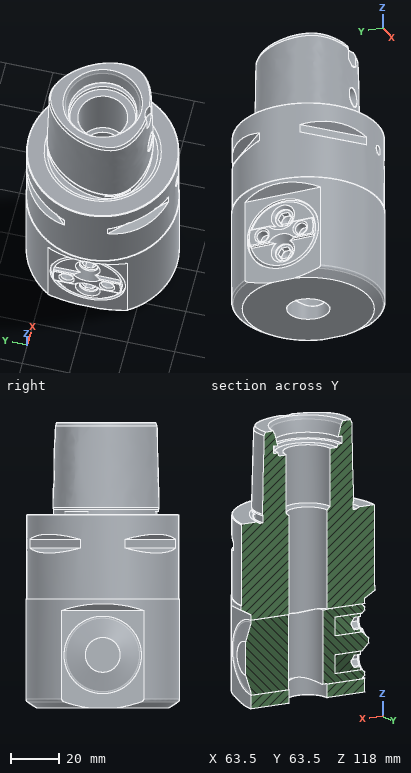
import cadquery as cq
import math


shank_length = 38.0
shank_mean_radius = 22.0
shank_lobe_height = 1.35
shank_taper_rate = 1 / 40
neck_inset = 0.25
neck_top = 2.15
taper_start = 2.9
tip_chamfer_width = 0.65
tip_chamfer_height = 1.5
profile_points = 48

lobe_relief_radius = 22.5
lobe_relief_top = 1.2

tip_notch_radius = 5.3
tip_notch_reach = 18.1
tip_notch_bottom = shank_length - 6.4

side_hole_radius = 4.0
side_hole_mouth_radius = 4.5
side_hole_height = 15.3
side_hole_depth = 4.0
side_hole_start = 20.6

flange_radius = 31.5
flange_length = 35.0
flange_edge_chamfer = 0.3
head_radius = 31.75
clear_radius = 35.0
head_length = 45.0
head_bottom = -flange_length - head_length
head_chamfer_width = 4.45
head_chamfer_height = 2.9
head_chamfer_rounding = 1.5

face_groove_outer_radius = 24.2
face_groove_inner_radius = 22.8
face_groove_depth = 0.8

gripper_groove_distance = 27.8
gripper_groove_floor_width = 3.5
gripper_groove_flank_angle = 30.0
gripper_groove_height = -12.05

index_hole_radius = 2.0
index_hole_depth = 1.5

flat_distance = 26.85
flat_top = -39.7
flat_run_out_angle = 30.0

bore_mouth_radius = 16.4
bore_radius = 15.5
bore_lip_radius = 14.1
bore_mouth_depth = 1.55
clamp_groove_radius = 16.0
clamp_groove_top = 31.2
seat_radius = 13.6
seat_height = 26.9
seat_cone_top = 28.3
drawbar_radius = 10.3
drawbar_step = 2.0
drawbar_cone_end = 0.6
through_radius = 8.9

slider_radius = 16.0
slider_height = -58.0
slider_edge_chamfer = 1.35
slider_cone_base_radius = 15.2
slider_cone_tip_radius = 7.2
slider_cone_tip = 29.45
slider_bore_radius = 8.0
slider_bore_offset = 1.1

key_width = 7.9
key_end_radius = slider_radius - slider_edge_chamfer
key_height = 1.85
key_chamfer = 0.4
key_face = flat_distance + key_height

key_hole_radius = 2.5
key_hole_mouth_radius = 3.25
key_hole_spacing = 17.2
key_hole_depth = 5.0

screw_radius = 3.9
screw_spacing = 16.2
screw_countersink_radius = 5.2
screw_recess = 2.0
screw_length = 12.0
socket_across_flats = 5.1
socket_depth = 3.0

drill_point_slope = math.tan(math.radians(31.0))


def revolved(points):
    """Turn an outline of (radius, height) points about the Z axis."""
    return cq.Workplane("XZ").polyline(points).close().revolve(360, (0, 0), (0, 1))


def along_x(shape):
    """Lay a shape turned about Z so that its axis runs to +X at the slider's height."""
    return shape.rotate((0, 0, 0), (0, 1, 0), 90).translate((0, 0, slider_height))


def lobed_wire(mean_radius, height):
    """Closed three-lobed curve of constant width, with one lobe toward +Y."""

    def point(share):
        angle = 2 * math.pi * share
        reach = mean_radius - shank_lobe_height * math.sin(3 * angle)
        slope = -3 * shank_lobe_height * math.cos(3 * angle)
        x = reach * math.cos(angle) - slope * math.sin(angle)
        y = reach * math.sin(angle) + slope * math.cos(angle)
        return (x, y, height)

    points = [point(i / profile_points) for i in range(profile_points)]
    edge = cq.Edge.makeSpline([cq.Vector(*p) for p in points], periodic=True)
    return cq.Wire.assembleEdges([edge])


def lobed_section(lower_radius, lower_height, upper_radius, upper_height):
    """Straight or tapered length of the shank between two lobed curves."""
    lower = lobed_wire(lower_radius, lower_height)
    upper = lobed_wire(upper_radius, upper_height)
    return cq.Workplane(cq.Solid.makeLoft([lower, upper], True))


def make_shank():
    neck_radius = shank_mean_radius - neck_inset
    chamfer_start = shank_length - tip_chamfer_height
    tip_radius = shank_mean_radius - (chamfer_start - taper_start) * shank_taper_rate
    shank = lobed_section(neck_radius, -face_groove_depth, neck_radius, neck_top)
    shank = shank.union(lobed_section(neck_radius, neck_top, shank_mean_radius, taper_start))
    shank = shank.union(lobed_section(shank_mean_radius, taper_start, tip_radius, chamfer_start))
    face_radius = tip_radius - tip_chamfer_width
    shank = shank.union(lobed_section(tip_radius, chamfer_start, face_radius, shank_length))

    lobe_relief = revolved([
        (lobe_relief_radius, -face_groove_depth),
        (face_groove_outer_radius, -face_groove_depth),
        (face_groove_outer_radius, lobe_relief_top),
        (lobe_relief_radius, lobe_relief_top),
    ])
    tip_notch = revolved([
        (0, tip_notch_bottom - tip_notch_radius),
        (tip_notch_radius, tip_notch_bottom),
        (tip_notch_radius, shank_length),
        (0, shank_length),
    ]).translate((0, -tip_notch_reach - tip_notch_radius, 0))
    mouth_depth = side_hole_mouth_radius - side_hole_radius
    side_hole = revolved([
        (0, side_hole_start - side_hole_depth - side_hole_radius * drill_point_slope),
        (side_hole_radius, side_hole_start - side_hole_depth),
        (side_hole_radius, side_hole_start - mouth_depth),
        (side_hole_mouth_radius, side_hole_start),
        (0, side_hole_start),
    ])
    side_hole = side_hole.rotate((0, 0, 0), (1, 0, 0), 90).translate((0, 0, side_hole_height))
    return shank.cut(lobe_relief).cut(tip_notch).cut(side_hole)


def make_turned_body():
    flange = cq.Workplane("XY").circle(flange_radius).extrude(-flange_length)
    flange = flange.faces(">Z").chamfer(flange_edge_chamfer)
    head = revolved([
        (0, head_bottom),
        (head_radius - head_chamfer_width, head_bottom),
        (head_radius, head_bottom + head_chamfer_height),
        (head_radius, -flange_length),
        (0, -flange_length),
    ])
    chamfer_top_edge = cq.selectors.BoxSelector(
        (-clear_radius, -clear_radius, head_bottom + head_chamfer_height / 2),
        (clear_radius, clear_radius, head_bottom + head_chamfer_height * 2),
        boundingbox=True,
    )
    head = head.edges("%CIRCLE").edges(chamfer_top_edge).fillet(head_chamfer_rounding)
    face_groove = revolved([
        (0, 0),
        (face_groove_outer_radius, 0),
        (face_groove_inner_radius, -face_groove_depth),
        (0, -face_groove_depth),
    ])
    return flange.union(head).cut(face_groove)


def make_gripper_groove():
    """Trapezoid groove across the +X side of the flange."""
    depth = head_radius - gripper_groove_distance
    floor = gripper_groove_floor_width / 2
    mouth = floor + depth * math.tan(math.radians(gripper_groove_flank_angle))
    outline = [
        (gripper_groove_distance, gripper_groove_height - floor),
        (head_radius, gripper_groove_height - mouth),
        (head_radius, gripper_groove_height + mouth),
        (gripper_groove_distance, gripper_groove_height + floor),
    ]
    return cq.Workplane("XZ").polyline(outline).close().extrude(head_radius, both=True)


def make_flat_cutter():
    """Removes everything beyond the flat on the +X side of the head."""
    depth = clear_radius - flat_distance
    rise = depth * math.tan(math.radians(flat_run_out_angle))
    outline = [
        (flat_distance, head_bottom),
        (flat_distance + depth, head_bottom),
        (flat_distance + depth, flat_top + rise),
        (flat_distance, flat_top),
    ]
    return cq.Workplane("XZ").polyline(outline).close().extrude(head_radius, both=True)


def make_bore():
    return revolved([
        (0, head_bottom),
        (through_radius, head_bottom),
        (through_radius, drawbar_cone_end),
        (drawbar_radius, drawbar_step),
        (drawbar_radius, seat_height),
        (seat_radius, seat_height),
        (bore_lip_radius, seat_cone_top),
        (clamp_groove_radius, seat_cone_top),
        (clamp_groove_radius, clamp_groove_top),
        (bore_lip_radius, clamp_groove_top),
        (bore_radius, shank_length - bore_mouth_depth),
        (bore_mouth_radius, shank_length),
        (0, shank_length),
    ])


def make_housing():
    housing = make_turned_body().union(make_shank())
    for angle in (45, 135, 225, 315):
        housing = housing.cut(make_gripper_groove().rotate((0, 0, 0), (0, 0, 1), angle))
    for angle in (0, 180):
        housing = housing.cut(make_flat_cutter().rotate((0, 0, 0), (0, 0, 1), angle))
    index_floor = flange_radius - index_hole_depth
    index_hole = revolved([
        (0, index_floor - index_hole_radius * drill_point_slope),
        (index_hole_radius, index_floor),
        (index_hole_radius, head_radius),
        (0, head_radius),
    ])
    index_hole = index_hole.rotate((0, 0, 0), (1, 0, 0), 90).translate((0, 0, gripper_groove_height))
    slider_way = along_x(cq.Workplane("XY").circle(slider_radius).extrude(head_radius, both=True))
    return housing.cut(make_bore()).cut(index_hole).cut(slider_way)


def screw_places():
    """Heights of the two set screws, one on each side of the slider's axis."""
    return [slider_height + side * screw_spacing / 2 for side in (-1, 1)]


def facing_left(shape, y, z):
    """Turn a shape whose axis is +Z so that it looks to -X from the head's axis."""
    return shape.rotate((0, 0, 0), (0, 1, 0), -90).translate((0, y, z))


def make_slider():
    barrel = revolved([
        (0, -flat_distance),
        (key_end_radius, -flat_distance),
        (slider_radius, -flat_distance + slider_edge_chamfer),
        (slider_radius, flat_distance),
        (slider_cone_base_radius, flat_distance),
        (slider_cone_tip_radius, slider_cone_tip),
        (0, slider_cone_tip),
    ])
    slider = along_x(barrel)

    key = cq.Workplane("XY").workplane(offset=flat_distance - key_height)
    key = key.circle(key_end_radius).extrude(2 * key_height)
    key_bar = cq.Workplane("XY").box(key_width, 2 * slider_radius, 2 * key_face)
    key = key.intersect(key_bar).faces(">Z").chamfer(key_chamfer)
    slider = slider.union(facing_left(key, 0, slider_height))

    cross_bore = cq.Workplane("XY").circle(slider_bore_radius).extrude(head_bottom)
    slider = slider.cut(cross_bore.translate((slider_bore_offset, 0, 0)))

    screw_hole_bottom = flat_distance - screw_recess - screw_length
    countersink_depth = screw_countersink_radius - screw_radius
    screw_hole = revolved([
        (0, screw_hole_bottom),
        (screw_radius, screw_hole_bottom),
        (screw_radius, flat_distance - countersink_depth),
        (screw_countersink_radius + key_height, key_face),
        (0, key_face),
    ])
    for z in screw_places():
        slider = slider.cut(facing_left(screw_hole, 0, z))

    key_hole_bottom = key_face - key_hole_depth
    key_hole = revolved([
        (0, key_hole_bottom - key_hole_radius * drill_point_slope),
        (key_hole_radius, key_hole_bottom),
        (key_hole_radius, key_face - key_hole_mouth_radius + key_hole_radius),
        (key_hole_mouth_radius, key_face),
        (0, key_face),
    ])
    for side in (-1, 1):
        slider = slider.cut(facing_left(key_hole, side * key_hole_spacing / 2, slider_height))
    return slider


def make_set_screw(z):
    face = flat_distance - screw_recess
    screw = cq.Workplane("XY").workplane(offset=face - screw_length).circle(screw_radius)
    screw = screw.extrude(screw_length)
    socket_across_corners = socket_across_flats / math.cos(math.pi / 6)
    socket = cq.Workplane("XY").workplane(offset=face).polygon(6, socket_across_corners)
    socket = socket.extrude(-socket_depth).rotate((0, 0, 0), (0, 0, 1), 90)
    socket_floor = face - socket_depth
    socket_tip = revolved([
        (0, socket_floor - socket_across_flats / 2 * drill_point_slope),
        (socket_across_flats / 2, socket_floor),
        (0, socket_floor),
    ])
    return facing_left(screw.cut(socket).cut(socket_tip), 0, z)


housing = make_housing()
slider = make_slider()
set_screws = [make_set_screw(z) for z in screw_places()]

result = cq.Compound.makeCompound([
    housing.val(),
    slider.val(),
    *[screw.val() for screw in set_screws],
])